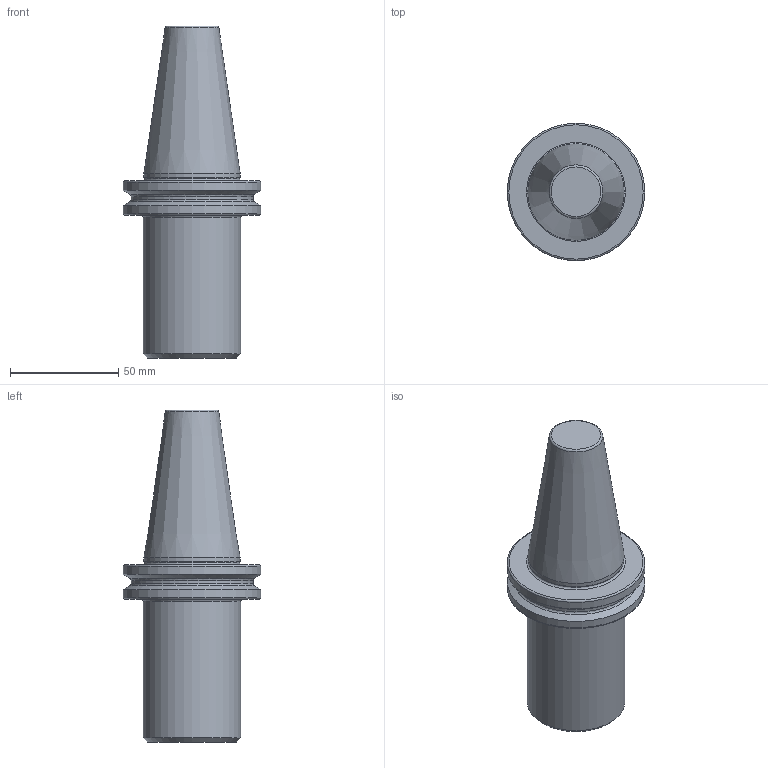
import cadquery as cq
import math


gauge_radius = 44.45 / 2
taper_length = 68.25
taper_rate = 7 / 24
tip_radius = gauge_radius - taper_length * taper_rate / 2
tip_fillet = 1.0

land_length = 1.8
relief_depth = 0.3
neck_radius = gauge_radius - relief_depth
neck_fillet = 0.9

flange_radius = 63.5 / 2
flange_top = -3.175
flange_bottom = -19.05
flange_fillet = 0.75

groove_center = -11.18
groove_floor_radius = 56.36 / 2
groove_mouth_width = 7.0
groove_flank_angle = math.radians(30)
groove_fillet = 1.25
groove_depth = flange_radius - groove_floor_radius
groove_half_mouth = groove_mouth_width / 2
groove_half_floor = groove_half_mouth - groove_depth * math.tan(groove_flank_angle)

nose_radius = 45.0 / 2
nose_end = -85.0
nose_chamfer = 2.0
nose_root_fillet = 1.0

edge_tolerance = 0.01


def sharp_body():
    """Body of revolution with its rounded corners still sharp."""
    outline = [
        (0, taper_length),
        (tip_radius, taper_length),
        (gauge_radius, 0),
        (gauge_radius, -land_length),
        (neck_radius, -land_length - relief_depth),
        (neck_radius, flange_top),
        (flange_radius, flange_top),
        (flange_radius, groove_center + groove_half_mouth),
        (groove_floor_radius, groove_center + groove_half_floor),
        (groove_floor_radius, groove_center - groove_half_floor),
        (flange_radius, groove_center - groove_half_mouth),
        (flange_radius, flange_bottom),
        (nose_radius, flange_bottom),
        (nose_radius, nose_end + nose_chamfer),
        (nose_radius - nose_chamfer, nose_end),
        (0, nose_end),
    ]
    return cq.Workplane("XZ").polyline(outline).close().revolve(360, (0, 0, 0), (0, 1, 0))


def round_corner(body, radius, height, fillet):
    """Fillet the circular edge that has the given radius and height."""

    def is_corner(edge):
        at_height = abs(edge.Center().z - height) < edge_tolerance
        return at_height and abs(edge.radius() - radius) < edge_tolerance

    return body.edges("%CIRCLE").filter(is_corner).fillet(fillet)


rounded_corners = [
    (tip_radius, taper_length, tip_fillet),
    (neck_radius, flange_top, neck_fillet),
    (flange_radius, flange_top, flange_fillet),
    (groove_floor_radius, groove_center + groove_half_floor, groove_fillet),
    (groove_floor_radius, groove_center - groove_half_floor, groove_fillet),
    (flange_radius, flange_bottom, flange_fillet),
    (nose_radius, flange_bottom, nose_root_fillet),
]

result = sharp_body()
for corner_radius, corner_height, corner_fillet in rounded_corners:
    result = round_corner(result, corner_radius, corner_height, corner_fillet)